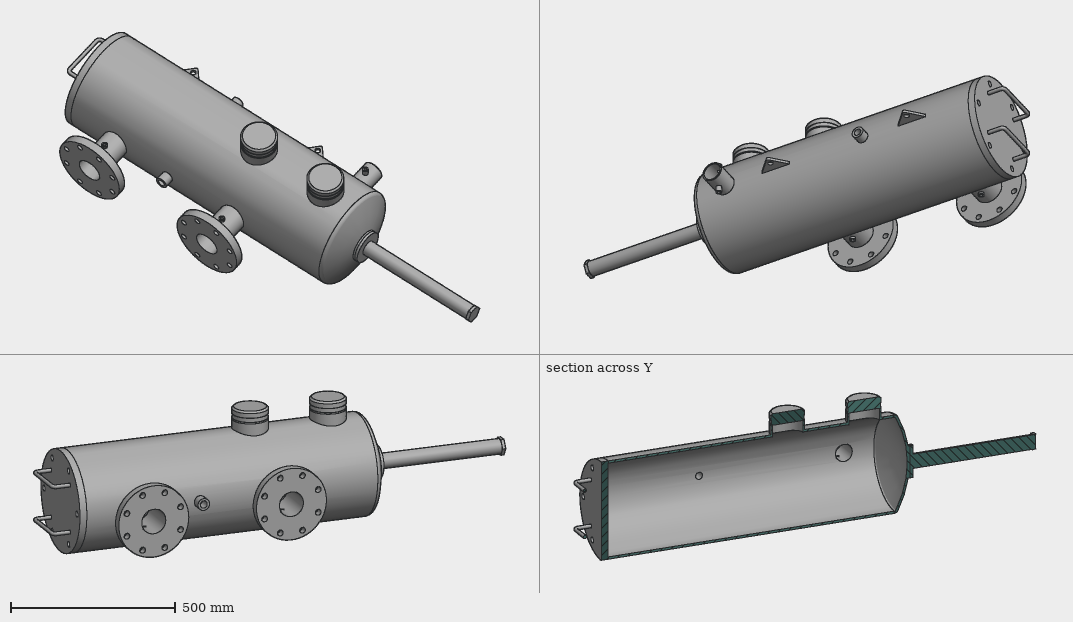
import cadquery as cq
import math


shell_radius = 161.0
wall = 9.0
cover_thickness = 23.0
cover_hole_circle_radius = 136.0
cover_hole_diameter = 18.0
cover_hole_count = 6

head_start_x = 976.0
dish_radius = 2 * shell_radius
knuckle_radius = 15.0
boss_radius = 53.0
boss_end_x = 1030.0

handle_bar_diameter = 12.0
handle_bend_radius = 12.0
handle_reach = 60.0
handle_width = 167.0
handle_z = 75.0

nozzle_xs = [192.0, 643.0]
nozzle_diameter = 89.0
nozzle_bore = 78.0
flange_face_y = -288.0
flange_thickness = 27.0
flange_diameter = 230.0
flange_hole_circle_radius = 95.0
flange_hole_diameter = 18.0
flange_hole_count = 8

stub_diameter = 65.0
stub_bore = 56.0
overall_width = 528.0
stub_end_y = flange_face_y + overall_width

gauge_diameter = 18.0
gauge_bore = 9.0
gauge_half_span = 51.0
nozzle_gauge_y = -213.0
stub_gauge_y = 199.0

coupling_x = 394.0
coupling_diameter = 38.0
coupling_bore = 23.0
coupling_half_span = 192.0

lug_xs = [220.0, 698.0]
lug_tip_y = 215.0
lug_half_width = 48.0
lug_thickness = 9.0
lug_tip_radius = 6.0
lug_hole_y = 193.0
lug_hole_diameter = 17.0

spout_xs = [622.0, 876.0]
spout_diameter = 113.0
spout_bore = 101.0
cap_top_z = 230.0
cap_height = 39.0
cap_chamfer = 6.0
cap_groove_depth = 2.0
cap_groove_top = 21.0
cap_groove_width = 14.0
cap_bottom_z = cap_top_z - cap_height

rod_disc_thickness = 9.0
rod_diameter = 48.0
rod_end_x = 1448.0
hex_across_flats = 50.0
hex_thickness = 10.0

stub_x = spout_xs[-1]
inner_radius = shell_radius - wall


def cylinder(start, direction, diameter, length):
    """Solid cylinder from a start point along a direction."""
    solid = cq.Solid.makeCylinder(diameter / 2, length, cq.Vector(*start), cq.Vector(*direction))
    return cq.Workplane(solid)


def cylinder_x(x_start, x_end, diameter):
    return cylinder((x_start, 0, 0), (1, 0, 0), diameter, x_end - x_start)


def cylinder_y(x, y_start, y_end, diameter):
    return cylinder((x, y_start, 0), (0, 1, 0), diameter, y_end - y_start)


def cylinder_z(x, y, z_start, z_end, diameter):
    return cylinder((x, y, z_start), (0, 0, 1), diameter, z_end - z_start)


def circle_points(radius, count, first_angle):
    """Points evenly spaced on a circle, from a first angle in degrees."""
    angles = [math.radians(first_angle + 360 * i / count) for i in range(count)]
    return [(radius * math.cos(a), radius * math.sin(a)) for a in angles]


def flange(x):
    """Bolted flange in the XZ plane, its outer face toward -Y."""
    holes = circle_points(flange_hole_circle_radius, flange_hole_count, 180 / flange_hole_count)
    return (
        cq.Workplane("XZ", origin=(x, flange_face_y + flange_thickness, 0))
        .circle(flange_diameter / 2)
        .extrude(flange_thickness)
        .faces("<Y")
        .workplane(origin=(x, flange_face_y, 0))
        .pushPoints(holes)
        .hole(flange_hole_diameter)
    )


def lug(x):
    """Triangular plate with a rounded, drilled tip; its base is sunk in the shell wall."""
    slope = lug_half_width / (lug_tip_y - shell_radius)
    base_y = shell_radius - wall / 2
    base_half_width = slope * (lug_tip_y - base_y)
    plate = (
        cq.Workplane("XY", origin=(x, 0, -lug_thickness / 2))
        .moveTo(-base_half_width, base_y)
        .lineTo(base_half_width, base_y)
        .lineTo(0, lug_tip_y)
        .close()
        .extrude(lug_thickness)
        .edges("|Z and >Y")
        .fillet(lug_tip_radius)
    )
    return plate.cut(cylinder_z(x, lug_hole_y, -lug_thickness, lug_thickness, lug_hole_diameter))


def make_shell():
    """Tubular shell with its nozzles, stub, couplings, spouts and lugs."""
    shell = cylinder_x(cover_thickness, head_start_x, 2 * shell_radius)

    for x in nozzle_xs:
        shell = shell.union(cylinder_y(x, flange_face_y, 0, nozzle_diameter)).union(flange(x))
        shell = shell.union(cylinder_z(x, nozzle_gauge_y, -gauge_half_span, gauge_half_span, gauge_diameter))
    shell = shell.union(cylinder_y(stub_x, 0, stub_end_y, stub_diameter))
    shell = shell.union(cylinder_z(stub_x, stub_gauge_y, -gauge_half_span, gauge_half_span, gauge_diameter))
    shell = shell.union(cylinder_y(coupling_x, -coupling_half_span, coupling_half_span, coupling_diameter))
    for x in spout_xs:
        shell = shell.union(cylinder_z(x, 0, 0, cap_bottom_z, spout_diameter))
    for x in lug_xs:
        shell = shell.union(lug(x))

    shell = shell.cut(cylinder_x(cover_thickness, head_start_x, 2 * inner_radius))
    for x in nozzle_xs:
        shell = shell.cut(cylinder_y(x, flange_face_y, 0, nozzle_bore))
        shell = shell.cut(cylinder_z(x, nozzle_gauge_y, -gauge_half_span, gauge_half_span, gauge_bore))
    shell = shell.cut(cylinder_y(stub_x, 0, stub_end_y, stub_bore))
    shell = shell.cut(cylinder_z(stub_x, stub_gauge_y, -gauge_half_span, gauge_half_span, gauge_bore))
    shell = shell.cut(cylinder_y(coupling_x, -coupling_half_span, coupling_half_span, coupling_bore))
    for x in spout_xs:
        shell = shell.cut(cylinder_z(x, 0, 0, cap_bottom_z, spout_bore))
    return shell


def dished_solid(offset):
    """Solid torispherical end, with its surface moved inward by an offset."""
    slope = math.asin((shell_radius - knuckle_radius) / (dish_radius - knuckle_radius))
    dish_center_x = head_start_x - (dish_radius - knuckle_radius) * math.cos(slope)
    dish = dish_radius - offset
    knuckle = knuckle_radius - offset

    def knuckle_point(angle):
        return (
            head_start_x + knuckle * math.cos(angle),
            shell_radius - knuckle_radius + knuckle * math.sin(angle),
        )

    def dish_point(angle):
        return (dish_center_x + dish * math.cos(angle), dish * math.sin(angle))

    return (
        cq.Workplane("XY")
        .moveTo(head_start_x, 0)
        .lineTo(head_start_x, shell_radius - offset)
        .threePointArc(knuckle_point((slope + math.pi / 2) / 2), knuckle_point(slope))
        .threePointArc(dish_point(slope / 2), dish_point(0))
        .close()
        .revolve(360, (0, 0, 0), (1, 0, 0))
    )


def make_head():
    """Dished head with a round boss that carries the rod."""
    boss = cylinder_x(head_start_x, boss_end_x, 2 * boss_radius)
    return dished_solid(0).union(boss).cut(dished_solid(wall))


def make_cover():
    """Flat cover with a ring of through holes."""
    cover = cylinder_x(0, cover_thickness, 2 * shell_radius)
    for y, z in circle_points(cover_hole_circle_radius, cover_hole_count, 0):
        cover = cover.cut(cylinder((0, y, z), (1, 0, 0), cover_hole_diameter, cover_thickness))
    return cover


def make_handle(z):
    """U-shaped round bar standing on the cover."""
    half_width = (handle_width - handle_bar_diameter) / 2
    bar_x = -handle_reach + handle_bar_diameter / 2
    bend_offset = handle_bend_radius * (1 - math.sqrt(0.5))
    path = (
        cq.Workplane("XY", origin=(0, 0, z))
        .moveTo(0, -half_width)
        .lineTo(bar_x + handle_bend_radius, -half_width)
        .threePointArc(
            (bar_x + bend_offset, -half_width + bend_offset), (bar_x, -half_width + handle_bend_radius)
        )
        .lineTo(bar_x, half_width - handle_bend_radius)
        .threePointArc(
            (bar_x + bend_offset, half_width - bend_offset), (bar_x + handle_bend_radius, half_width)
        )
        .lineTo(0, half_width)
    )
    section = cq.Workplane("YZ", origin=(0, -half_width, z)).circle(handle_bar_diameter / 2)
    return section.sweep(path)


def make_cap(x):
    """Round spout cap with a chamfered top edge and a shallow groove."""
    cap = cylinder_z(x, 0, cap_bottom_z, cap_top_z, spout_diameter).faces(">Z").chamfer(cap_chamfer)
    groove_top_z = cap_top_z - cap_groove_top
    groove_bottom_z = groove_top_z - cap_groove_width
    groove = cylinder_z(x, 0, groove_bottom_z, groove_top_z, 2 * spout_diameter).cut(
        cylinder_z(x, 0, groove_bottom_z, groove_top_z, spout_diameter - 2 * cap_groove_depth)
    )
    return cap.cut(groove)


def make_rod():
    """Round rod between a disc at the boss and a hexagonal tip."""
    disc_end_x = boss_end_x + rod_disc_thickness
    disc = cylinder_x(boss_end_x, disc_end_x, 2 * boss_radius)
    shaft = cylinder_x(disc_end_x, rod_end_x - hex_thickness, rod_diameter)
    tip = (
        cq.Workplane("YZ", origin=(rod_end_x - hex_thickness, 0, 0))
        .polygon(6, hex_across_flats / math.cos(math.pi / 6))
        .extrude(hex_thickness)
    )
    return disc.union(shaft).union(tip)


shell = make_shell()
head = make_head()
cover = make_cover()
handles = [make_handle(z) for z in (-handle_z, handle_z)]
caps = [make_cap(x) for x in spout_xs]
rod = make_rod()

result = cq.Compound.makeCompound(
    [
        shell.val(),
        head.val(),
        cover.val(),
        *[handle.val() for handle in handles],
        *[cap.val() for cap in caps],
        rod.val(),
    ]
)